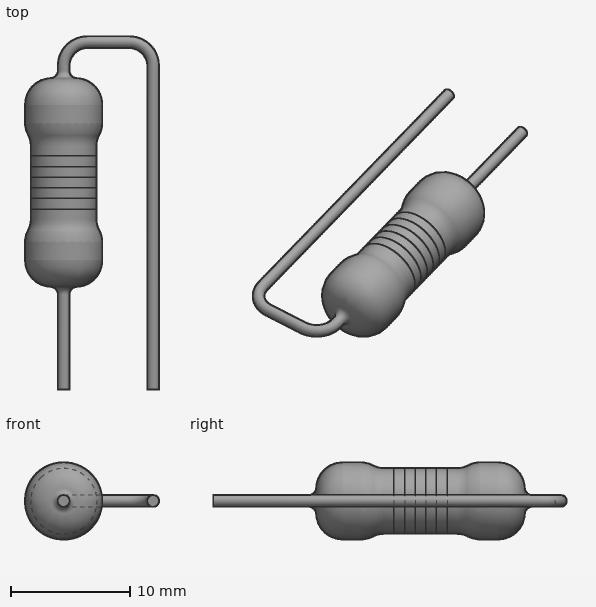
import cadquery as cq
import math


wire_diameter = 1.0
lead_pitch = 7.5
bend_radius = 2.0
bend_clearance = 1.0
lead_length = 8.6
flare_fillet = 0.6

body_length = 17.5
cap_diameter = 6.5
cap_width = 1.5
dome_radius = 2.25
shoulder_width = 1.0
waist_length = 8.0
waist_diameter = 5.525
band_diameter = 5.535
band_count = 4

ring_count = 2 * band_count - 1
neck_count = 2
ring_width = waist_length / (ring_count + neck_count)

wire_radius = wire_diameter / 2
cap_radius = cap_diameter / 2
band_radius = band_diameter / 2
waist_radius = waist_diameter / 2
body_end = body_length / 2
cap_outer = body_end - dome_radius
cap_inner = cap_outer - cap_width
shoulder_end = cap_inner - shoulder_width
neck_end = shoulder_end - ring_width
lead_tip = -body_end - lead_length


def arc_point(center, radius, angle):
    """Point at an angle in radians on a circle."""
    return (
        center[0] + radius * math.cos(angle),
        center[1] + radius * math.sin(angle),
    )


def make_end():
    """Revolved +Y end of the body: neck, shoulder, cap, dome and lead flare."""
    blend_drop = cap_radius - band_radius
    blend_angle = 2 * math.atan(blend_drop / (shoulder_width + ring_width))
    shoulder_radius = shoulder_width / math.sin(blend_angle)
    neck_radius = ring_width / math.sin(blend_angle)
    shoulder_center = (cap_radius - shoulder_radius, cap_inner)
    neck_center = (band_radius + neck_radius, neck_end)

    dome_center = (cap_radius - dome_radius, cap_outer)
    flare_x = wire_radius + flare_fillet
    touch_angle = math.acos((flare_x - dome_center[0]) / (dome_radius + flare_fillet))
    flare_center = arc_point(dome_center, dome_radius + flare_fillet, touch_angle)
    flare_middle_angle = math.pi + touch_angle / 2

    return (
        cq.Workplane("XY")
        .moveTo(0, neck_end)
        .lineTo(band_radius, neck_end)
        .threePointArc(
            arc_point(neck_center, neck_radius, math.pi - blend_angle / 2),
            arc_point(neck_center, neck_radius, math.pi - blend_angle),
        )
        .threePointArc(
            arc_point(shoulder_center, shoulder_radius, -blend_angle / 2),
            (cap_radius, cap_inner),
        )
        .lineTo(cap_radius, cap_outer)
        .threePointArc(
            arc_point(dome_center, dome_radius, touch_angle / 2),
            arc_point(dome_center, dome_radius, touch_angle),
        )
        .threePointArc(
            arc_point(flare_center, flare_fillet, flare_middle_angle),
            (wire_radius, flare_center[1]),
        )
        .lineTo(0, flare_center[1])
        .close()
        .revolve(360, (0, 0, 0), (0, 1, 0))
    )


def make_ring(index):
    """One ring of the waist; even rings are bands and odd rings are gaps."""
    is_band = index % 2 == 0
    radius = band_radius if is_band else waist_radius
    start = index * ring_width - neck_end
    return cq.Workplane("XZ", origin=(0, start, 0)).circle(radius).extrude(-ring_width)


def make_body():
    end = make_end()
    body = end
    for index in range(ring_count):
        body = body.union(make_ring(index))
    return body.union(end.mirror("XZ"))


def make_wire():
    """Wire through the body axis, bent over and back beside the body."""
    bend_start = body_end + bend_clearance
    run_level = bend_start + bend_radius
    first_bend_center = (bend_radius, bend_start)
    second_bend_center = (lead_pitch - bend_radius, bend_start)
    path = (
        cq.Workplane("XY")
        .moveTo(0, lead_tip)
        .lineTo(0, bend_start)
        .threePointArc(
            arc_point(first_bend_center, bend_radius, math.radians(135)),
            (bend_radius, run_level),
        )
        .lineTo(lead_pitch - bend_radius, run_level)
        .threePointArc(
            arc_point(second_bend_center, bend_radius, math.radians(45)),
            (lead_pitch, bend_start),
        )
        .lineTo(lead_pitch, lead_tip)
    )
    return cq.Workplane("XZ", origin=(0, lead_tip, 0)).circle(wire_radius).sweep(path)


result = make_body().union(make_wire())